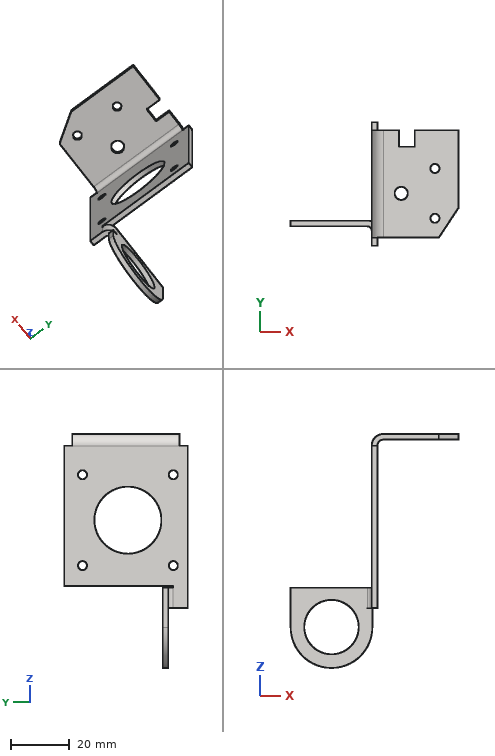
import cadquery as cq


TOTAL_LENGTH_X = 57.35
PLATE_WIDTH = 42.3
TOTAL_HEIGHT = 79.94

SHEET = 2.0
FLANGE_BEND_INNER = 2.0
FLANGE_BEND_OUTER = FLANGE_BEND_INNER + SHEET
LUG_BEND_INNER = 1.5

PLATE_FRONT_Y = -20.5
PLATE_BACK_Y = PLATE_FRONT_Y + PLATE_WIDTH
PLATE_TOP_Z = 25.45
PLATE_BOTTOM_Z = -22.5
MOTOR_BORE_DIAMETER = 22.8
MOTOR_SCREW_DIAMETER = 3.0
MOTOR_SCREW_SPACING = 31.0

FLANGE_TOP_Z = PLATE_TOP_Z + FLANGE_BEND_OUTER
FLANGE_END_X = 29.65
FLANGE_FRONT_Y = -17.65
FLANGE_BACK_Y = 19.0
FLANGE_CORNER_X = 6.7
FLANGE_CORNER_Y = 10.1
NOTCH_START_X = 9.4
NOTCH_WIDTH = 5.3
NOTCH_DEPTH = 5.6
PIVOT_DIAMETER = 4.4
PIVOT_X = 10.1
PIVOT_Y = -2.55
FLANGE_SCREW_DIAMETER = 3.0
FLANGE_SCREW_OFFSET_X = 11.5
FLANGE_SCREW_SPACING = 17.0

LUG_WIDTH = 28.0
LUG_RADIUS = LUG_WIDTH / 2
LUG_BORE_DIAMETER = 18.5
LUG_START_X = FLANGE_END_X - TOTAL_LENGTH_X
LUG_CENTER_X = LUG_START_X + LUG_RADIUS
LUG_CENTER_Z = FLANGE_TOP_Z - TOTAL_HEIGHT + LUG_RADIUS
RELIEF_GAP = 0.5
LUG_TOP_Z = PLATE_BOTTOM_Z - RELIEF_GAP
TAB_HEIGHT = 7.0
TAB_BOTTOM_Z = LUG_TOP_Z - TAB_HEIGHT
TAB_FLAT_WIDTH = 5.15
LUG_BEND_Y = PLATE_FRONT_Y + TAB_FLAT_WIDTH
LUG_FRONT_Y = LUG_BEND_Y + LUG_BEND_INNER
LUG_BACK_Y = LUG_FRONT_Y + SHEET


def block(x_range, y_range, z_range):
    """Box spanning the given (low, high) pairs."""
    size = [high - low for low, high in (x_range, y_range, z_range)]
    corner = (x_range[0], y_range[0], z_range[0])
    return cq.Workplane("XY").box(*size, centered=False).translate(corner)


def quarter_bend(plane, inner_radius, length):
    """Quarter of a sheet tube about the plane's origin, in its -x, +y quadrant."""
    outer_radius = inner_radius + SHEET
    tube = cq.Workplane(plane).circle(outer_radius).circle(inner_radius).extrude(length)
    quadrant = (
        cq.Workplane(plane)
        .rect(-outer_radius, outer_radius, centered=False)
        .extrude(length)
    )
    return tube.intersect(quadrant)


def motor_plate():
    plate = block((0, SHEET), (PLATE_FRONT_Y, PLATE_BACK_Y), (PLATE_BOTTOM_Z, PLATE_TOP_Z))
    bore = cq.Workplane("YZ").circle(MOTOR_BORE_DIAMETER / 2).extrude(SHEET)
    screws = (
        cq.Workplane("YZ")
        .rect(MOTOR_SCREW_SPACING, MOTOR_SCREW_SPACING, forConstruction=True)
        .vertices()
        .circle(MOTOR_SCREW_DIAMETER / 2)
        .extrude(SHEET)
    )
    return plate.cut(bore).cut(screws)


def flange_bend():
    plane = cq.Plane(
        origin=(FLANGE_BEND_OUTER, FLANGE_BACK_Y, PLATE_TOP_Z),
        xDir=(1, 0, 0),
        normal=(0, -1, 0),
    )
    return quarter_bend(plane, FLANGE_BEND_INNER, FLANGE_BACK_Y - FLANGE_FRONT_Y)


def mounting_flange():
    base = cq.Workplane("XY", origin=(0, 0, FLANGE_TOP_Z - SHEET))
    notch_end_x = NOTCH_START_X + NOTCH_WIDTH
    notch_floor_y = FLANGE_BACK_Y - NOTCH_DEPTH
    flange = (
        base.moveTo(FLANGE_BEND_OUTER, FLANGE_FRONT_Y)
        .lineTo(FLANGE_END_X - FLANGE_CORNER_X, FLANGE_FRONT_Y)
        .lineTo(FLANGE_END_X, FLANGE_FRONT_Y + FLANGE_CORNER_Y)
        .lineTo(FLANGE_END_X, FLANGE_BACK_Y)
        .lineTo(notch_end_x, FLANGE_BACK_Y)
        .lineTo(notch_end_x, notch_floor_y)
        .lineTo(NOTCH_START_X, notch_floor_y)
        .lineTo(NOTCH_START_X, FLANGE_BACK_Y)
        .lineTo(FLANGE_BEND_OUTER, FLANGE_BACK_Y)
        .close()
        .extrude(SHEET)
    )
    pivot = base.center(PIVOT_X, PIVOT_Y).circle(PIVOT_DIAMETER / 2).extrude(SHEET)
    screws = (
        base.center(PIVOT_X + FLANGE_SCREW_OFFSET_X, PIVOT_Y)
        .rarray(1, FLANGE_SCREW_SPACING, 1, 2)
        .circle(FLANGE_SCREW_DIAMETER / 2)
        .extrude(SHEET)
    )
    return flange.cut(pivot).cut(screws)


def lug_tab():
    """Flat strip below the motor plate, continuing its sheet down to the lug bend."""
    return block((0, SHEET), (PLATE_FRONT_Y, LUG_BEND_Y), (TAB_BOTTOM_Z, PLATE_BOTTOM_Z))


def lug_bend():
    plane = cq.Plane(
        origin=(-LUG_BEND_INNER, LUG_BEND_Y, LUG_TOP_Z),
        xDir=(-1, 0, 0),
        normal=(0, 0, -1),
    )
    return quarter_bend(plane, LUG_BEND_INNER, TAB_HEIGHT)


def ring_lug():
    """Round-ended lug; below the tab it regains its full width past the bend."""
    base = cq.Workplane("XZ", origin=(0, LUG_BACK_Y, 0))
    end_x = LUG_START_X + LUG_WIDTH
    return (
        base.moveTo(LUG_START_X, LUG_TOP_Z)
        .lineTo(-LUG_BEND_INNER, LUG_TOP_Z)
        .lineTo(-LUG_BEND_INNER, TAB_BOTTOM_Z)
        .lineTo(end_x, TAB_BOTTOM_Z)
        .lineTo(end_x, LUG_CENTER_Z)
        .threePointArc((LUG_CENTER_X, LUG_CENTER_Z - LUG_RADIUS), (LUG_START_X, LUG_CENTER_Z))
        .close()
        .moveTo(LUG_CENTER_X, LUG_CENTER_Z)
        .circle(LUG_BORE_DIAMETER / 2)
        .extrude(SHEET)
    )


result = (
    motor_plate()
    .union(flange_bend())
    .union(mounting_flange())
    .union(lug_tab())
    .union(lug_bend())
    .union(ring_lug())
)